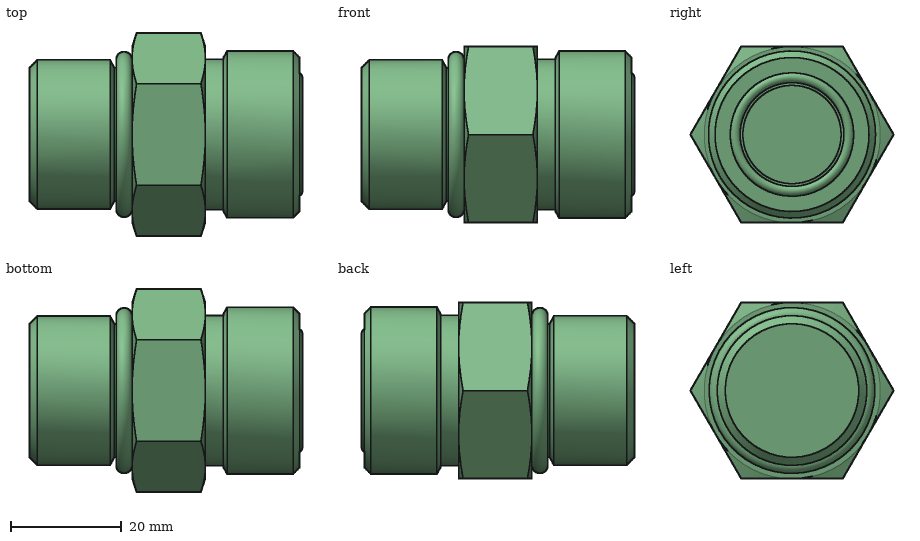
import cadquery as cq
import math


total_length = 49.25
stud_end = 15.3
hex_start = 18.5
hex_end = 31.7
port_start = 34.95
port_face = 48.7

stud_diameter = 27.0
groove_diameter = 24.05
stud_tip_chamfer = (stud_diameter - groove_diameter) / 2
stud_runout = 0.8

hex_across_flats = 31.75
hex_chamfer_angle = 18.0

neck_diameter = 27.17
port_diameter = 30.15
port_back_chamfer_length = 0.7
port_back_diameter = 27.75
port_front_chamfer = 1.2

stud_ring_section = 2.9
face_ring_section = 1.75
face_groove_outer_diameter = 22.25
face_groove_inner_diameter = 17.7


def revolve_profile(points):
    """Revolve a profile of (x, radius) points around the X axis."""
    profile = cq.Workplane("XY").polyline(points).close()
    return profile.revolve(360, (0, 0, 0), (1, 0, 0))


def make_ring(center_x, center_radius, section_diameter):
    """Round-section ring around the X axis."""
    section = cq.Workplane("XY").center(center_x, center_radius).circle(section_diameter / 2)
    return section.revolve(360, (0, -center_radius, 0), (1, -center_radius, 0))


def make_turned_core():
    """Stud, seal groove, neck and port as one turned shape."""
    stud_radius = stud_diameter / 2
    groove_radius = groove_diameter / 2
    neck_radius = neck_diameter / 2
    port_radius = port_diameter / 2
    return revolve_profile([
        (0, 0),
        (0, stud_radius - stud_tip_chamfer),
        (stud_tip_chamfer, stud_radius),
        (stud_end - stud_runout, stud_radius),
        (stud_end, groove_radius),
        (hex_start, groove_radius),
        (hex_start, neck_radius),
        (port_start, neck_radius),
        (port_start, port_back_diameter / 2),
        (port_start + port_back_chamfer_length, port_radius),
        (port_face - port_front_chamfer, port_radius),
        (port_face, port_radius - port_front_chamfer),
        (port_face, 0),
    ])


def make_hexagon():
    """Hexagon with flats facing +Z and -Z and conical chamfers on both ends."""
    flat_radius = hex_across_flats / 2
    corner_radius = flat_radius / math.cos(math.radians(30))
    chamfer_length = (corner_radius - flat_radius) * math.tan(math.radians(hex_chamfer_angle))
    prism = (
        cq.Workplane("YZ", origin=(hex_start, 0, 0))
        .polygon(6, 2 * corner_radius)
        .extrude(hex_end - hex_start)
    )
    chamfer_envelope = revolve_profile([
        (hex_start, 0),
        (hex_start, flat_radius),
        (hex_start + chamfer_length, corner_radius),
        (hex_end - chamfer_length, corner_radius),
        (hex_end, flat_radius),
        (hex_end, 0),
    ])
    return prism.intersect(chamfer_envelope)


def make_face_groove():
    """Ring-shaped cutter, as deep as the back of the face seal ring."""
    groove_floor = total_length - face_ring_section
    return (
        cq.Workplane("YZ", origin=(groove_floor, 0, 0))
        .circle(face_groove_outer_diameter / 2)
        .circle(face_groove_inner_diameter / 2)
        .extrude(port_face - groove_floor)
    )


def make_coupling():
    return make_turned_core().union(make_hexagon()).cut(make_face_groove()).solids()


def make_stud_ring():
    """Seal ring that hugs the groove and touches the hexagon."""
    center_x = hex_start - stud_ring_section / 2
    center_radius = (groove_diameter + stud_ring_section) / 2
    return make_ring(center_x, center_radius, stud_ring_section)


def make_face_ring():
    """Seal ring that fits the outer wall of the face groove and stands out of it."""
    center_x = total_length - face_ring_section / 2
    center_radius = (face_groove_outer_diameter - face_ring_section) / 2
    return make_ring(center_x, center_radius, face_ring_section)


coupling = make_coupling()
stud_ring = make_stud_ring()
face_ring = make_face_ring()

result = cq.Compound.makeCompound([coupling.val(), stud_ring.val(), face_ring.val()])